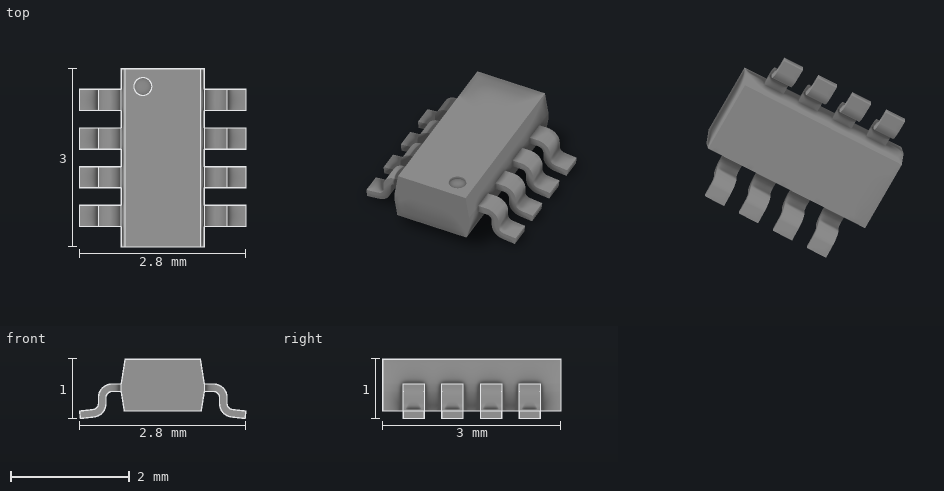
import cadquery as cq
import math

body_length = 3.0
body_width = 1.4
top_height = 1.0
body_height = 0.873
draft_angle = math.radians(9)

dimple_radius = 0.15
dimple_edge_distance = 0.3
dimple_depth = 0.05

span = 2.8
lead_thickness = 0.13
lead_width = 0.36
lead_pitch = 0.65
leads_per_side = 4
inner_radius = 0.1
outer_radius = inner_radius + lead_thickness
riser_length = 0.1
foot_length = 0.23
foot_angle = math.radians(6.5)

foot_cos = math.cos(foot_angle)
foot_sin = math.sin(foot_angle)

lower_bend_z = lead_thickness * foot_cos + foot_length * foot_sin + inner_radius * foot_cos
upper_bend_z = lower_bend_z + riser_length
lead_top_z = upper_bend_z + outer_radius
lead_bottom_z = lead_top_z - lead_thickness
lower_bend_x = span / 2 - foot_length * foot_cos + inner_radius * foot_sin
riser_outer_x = lower_bend_x - inner_radius
riser_inner_x = riser_outer_x - lead_thickness
upper_bend_x = riser_outer_x - outer_radius

half_width = body_width / 2
bottom_height = top_height - body_height
top_half_width = half_width - (top_height - lead_top_z) * math.tan(draft_angle)
bottom_half_width = half_width - (lead_bottom_z - bottom_height) * math.tan(draft_angle)


def around(center_x, center_z, radius, angle):
    """Point on a circle in the XZ plane, angle measured from +X toward +Z."""
    return (center_x + radius * math.cos(angle), center_z + radius * math.sin(angle))


def make_body():
    """Drafted block with a vertical belt as tall as the leads and a dimple by the first lead."""
    block = (
        cq.Workplane("XZ")
        .moveTo(-bottom_half_width, bottom_height)
        .lineTo(bottom_half_width, bottom_height)
        .lineTo(half_width, lead_bottom_z)
        .lineTo(half_width, lead_top_z)
        .lineTo(top_half_width, top_height)
        .lineTo(-top_half_width, top_height)
        .lineTo(-half_width, lead_top_z)
        .lineTo(-half_width, lead_bottom_z)
        .close()
        .extrude(body_length / 2, both=True)
    )
    dimple = (
        cq.Workplane("XY", origin=(0, 0, top_height))
        .center(dimple_edge_distance - top_half_width, body_length / 2 - dimple_edge_distance)
        .circle(dimple_radius)
        .extrude(-dimple_depth)
    )
    return block.cut(dimple)


def make_lead():
    """One lead on the +X side, centred on Y = 0 and butting against the belt."""
    foot_normal = 1.5 * math.pi - foot_angle
    lower_mid = (math.pi + foot_normal) / 2
    upper_mid = math.pi / 4
    foot_top_start = around(lower_bend_x, lower_bend_z, inner_radius, foot_normal)
    foot_bottom_start = around(lower_bend_x, lower_bend_z, outer_radius, foot_normal)
    foot_run = foot_length * foot_cos
    foot_drop = foot_length * foot_sin
    return (
        cq.Workplane("XZ")
        .moveTo(half_width, lead_top_z)
        .lineTo(upper_bend_x, lead_top_z)
        .threePointArc(
            around(upper_bend_x, upper_bend_z, outer_radius, upper_mid),
            (riser_outer_x, upper_bend_z),
        )
        .lineTo(riser_outer_x, lower_bend_z)
        .threePointArc(around(lower_bend_x, lower_bend_z, inner_radius, lower_mid), foot_top_start)
        .lineTo(foot_top_start[0] + foot_run, foot_top_start[1] - foot_drop)
        .lineTo(foot_bottom_start[0] + foot_run, foot_bottom_start[1] - foot_drop)
        .lineTo(*foot_bottom_start)
        .threePointArc(
            around(lower_bend_x, lower_bend_z, outer_radius, lower_mid),
            (riser_inner_x, lower_bend_z),
        )
        .lineTo(riser_inner_x, upper_bend_z)
        .threePointArc(
            around(upper_bend_x, upper_bend_z, inner_radius, upper_mid),
            (upper_bend_x, lead_bottom_z),
        )
        .lineTo(half_width, lead_bottom_z)
        .close()
        .extrude(lead_width / 2, both=True)
    )


def make_leads():
    """All leads, in one row along each long side of the body."""
    leads = []
    for side_angle in (0, 180):
        for index in range(leads_per_side):
            y = (index - (leads_per_side - 1) / 2) * lead_pitch
            lead = make_lead().rotate((0, 0, 0), (0, 0, 1), side_angle).translate((0, y, 0))
            leads.append(lead.val())
    return leads


body = make_body()
leads = make_leads()

result = cq.Compound.makeCompound([body.val(), *leads])